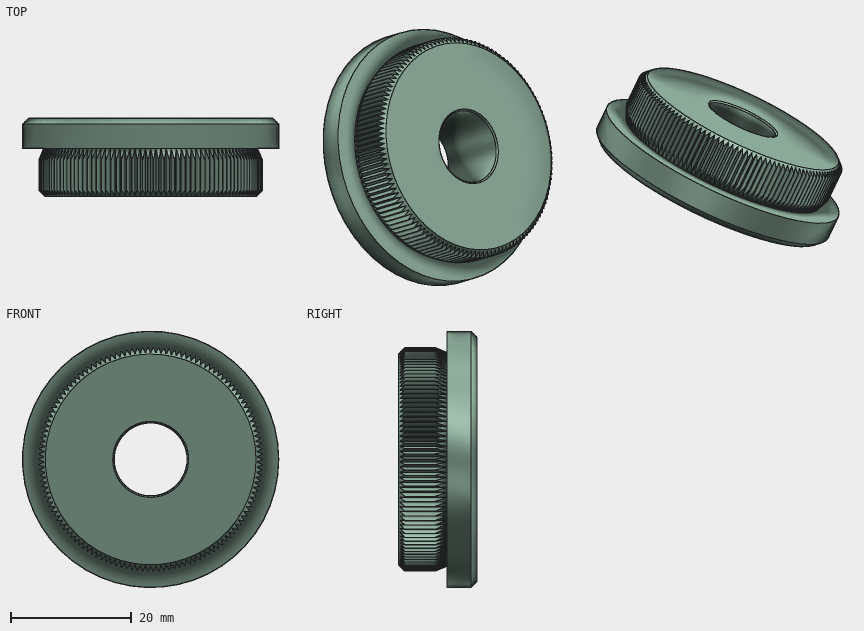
import cadquery as cq
import math

FLANGE_DIAMETER = 42.4
FLANGE_THICKNESS = 5.0
FLANGE_CHAMFER = 1.0

HUB_LENGTH = 8.0
HUB_FRONT_CHAMFER = 1.05

TOOTH_COUNT = 130
TOOTH_TIP_RADIUS = 18.5
TOOTH_DEPTH = 0.8
TOOTH_TIP_TRUNCATION = 0.065
TOOTH_RUNOUT_LENGTH = 1.9

BORE_DIAMETER = 12.05
BORE_CHAMFER = 0.25

TOOTH_ROOT_RADIUS = TOOTH_TIP_RADIUS - TOOTH_DEPTH
TOOTH_SHARP_RADIUS = TOOTH_TIP_RADIUS + TOOTH_TIP_TRUNCATION
TOTAL_LENGTH = HUB_LENGTH + FLANGE_THICKNESS
FLANGE_FRONT_Y = 0.0
HUB_FRONT_Y = FLANGE_FRONT_Y - HUB_LENGTH


def disc_plane(y):
    """Plane normal to the axis at the given Y, extruding toward +Y."""
    return cq.Workplane(cq.Plane(origin=(0, y, 0), xDir=(1, 0, 0), normal=(0, 1, 0)))


def make_flange():
    disc = disc_plane(FLANGE_FRONT_Y).circle(FLANGE_DIAMETER / 2).extrude(FLANGE_THICKNESS)
    return disc.faces(">Y").edges().chamfer(FLANGE_CHAMFER)


def make_toothed_bar():
    """Straight bar with sharp V teeth; a groove lies at the top, on the Z axis."""
    half_pitch = math.pi / TOOTH_COUNT
    outline = []
    for step in range(2 * TOOTH_COUNT):
        radius = TOOTH_SHARP_RADIUS if step % 2 else TOOTH_ROOT_RADIUS
        angle = step * half_pitch
        outline.append((radius * math.sin(angle), -radius * math.cos(angle)))
    return disc_plane(HUB_FRONT_Y).polyline(outline).close().extrude(HUB_LENGTH)


def make_hub_envelope():
    """Turned body that trims the tips, bevels the teeth at the front and tapers them toward the flange."""
    profile = [
        (0, HUB_FRONT_Y),
        (TOOTH_TIP_RADIUS - HUB_FRONT_CHAMFER, HUB_FRONT_Y),
        (TOOTH_TIP_RADIUS, HUB_FRONT_Y + HUB_FRONT_CHAMFER),
        (TOOTH_TIP_RADIUS, FLANGE_FRONT_Y - TOOTH_RUNOUT_LENGTH),
        (TOOTH_ROOT_RADIUS, FLANGE_FRONT_Y),
        (0, FLANGE_FRONT_Y),
    ]
    return cq.Workplane("XY").polyline(profile).close().revolve(360, (0, 0, 0), (0, 1, 0))


def make_bore():
    """Through bore with a small chamfer at the hub face."""
    radius = BORE_DIAMETER / 2
    bore = disc_plane(HUB_FRONT_Y).circle(radius).extrude(TOTAL_LENGTH)
    countersink = cq.Solid.makeCone(
        radius + BORE_CHAMFER,
        radius,
        BORE_CHAMFER,
        pnt=cq.Vector(0, HUB_FRONT_Y, 0),
        dir=cq.Vector(0, 1, 0),
    )
    return bore.union(cq.Workplane(countersink))


hub = make_hub_envelope().intersect(make_toothed_bar())
result = make_flange().union(hub).cut(make_bore())